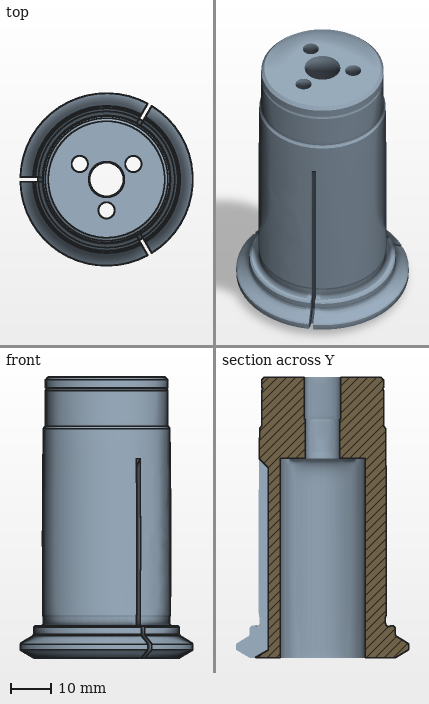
import cadquery as cq
import math

height = 70.0
top_radius = 30.5 / 2
top_chamfer = 0.8

notch_top_z = 67.3
notch_floor_height = 0.2
notch_bottom_z = 66.5
notch_depth = 0.3

shoulder_z = 57.75
body_top_z = 57.1
body_top_radius = 15.75
body_mid_z = 24.5
body_mid_radius = 15.95
body_bottom_z = 10.8
body_bottom_radius = 15.9

neck_radius = 15.75
neck_top_z = 10.2
undercut_radius = 0.8
undercut_center_height = 0.6

collar_radius = 18.1
collar_top_z = 8.05
collar_bottom_z = 5.95
collar_chamfer = 0.4

flange_radius = 21.5
flange_cone_top_radius = 18.35
flange_cone_top_z = 5.5
rim_top_z = 3.5
rim_bottom_z = 2.0
rim_chamfer = 0.3
base_radius = 18.05

slot_top_z = 49.7
bore_diameter = 21.0
bore_depth = slot_top_z
center_hole_diameter = 8.9
center_hole_depth = 10.5
center_throat_diameter = 8.4
bolt_hole_diameter = 4.0
bolt_hole_count = 3
bolt_circle_radius = 7.7
bolt_start_angle = 30.0

slot_count = 3
slot_start_angle = 60.0
slot_width = 1.1
slot_floor_radius = 13.6
slot_floor_arc_radius = 1.0
slot_top_slope = 45.0
slot_foot_radius = 17.15
slot_foot_z = rim_bottom_z
slot_outer_radius = flange_radius + 0.7


def make_sleeve():
    """Revolve the outer profile, drawn as (radius, z), about the Z axis."""
    undercut_center_r = neck_radius + undercut_radius
    undercut_center_z = collar_top_z + undercut_center_height
    undercut_outer_r = undercut_center_r + math.sqrt(undercut_radius**2 - undercut_center_height**2)
    profile = (
        cq.Workplane("XZ")
        .moveTo(0, 0)
        .lineTo(base_radius, 0)
        .lineTo(flange_radius, rim_bottom_z)
        .lineTo(flange_radius, rim_top_z)
        .lineTo(flange_radius - rim_chamfer, rim_top_z + rim_chamfer)
        .lineTo(flange_cone_top_radius, flange_cone_top_z)
        .lineTo(collar_radius, collar_bottom_z)
        .lineTo(collar_radius, collar_top_z - collar_chamfer)
        .lineTo(collar_radius - collar_chamfer, collar_top_z)
        .lineTo(undercut_outer_r, collar_top_z)
        .threePointArc(
            (undercut_center_r, undercut_center_z - undercut_radius),
            (neck_radius, undercut_center_z),
        )
        .lineTo(neck_radius, neck_top_z)
        .lineTo(body_bottom_radius, body_bottom_z)
        .threePointArc((body_mid_radius, body_mid_z), (body_top_radius, body_top_z))
        .lineTo(top_radius, shoulder_z)
        .lineTo(top_radius, notch_bottom_z)
        .lineTo(top_radius - notch_depth, notch_top_z - notch_floor_height)
        .lineTo(top_radius - notch_depth, notch_top_z)
        .lineTo(top_radius, notch_top_z)
        .lineTo(top_radius, height - top_chamfer)
        .lineTo(top_radius - top_chamfer, height)
        .lineTo(0, height)
        .close()
    )
    return profile.revolve(360, (0, 0, 0), (0, 1, 0))


def cylinder(diameter, bottom_z, top_z):
    """Upright cylinder on the Z axis."""
    return cq.Workplane("XY").workplane(offset=bottom_z).circle(diameter / 2).extrude(top_z - bottom_z)


def make_bolt_holes():
    """Bolt holes through the end wall into the main bore."""
    return (
        cq.Workplane("XY")
        .polarArray(bolt_circle_radius, bolt_start_angle, 360, bolt_hole_count)
        .circle(bolt_hole_diameter / 2)
        .extrude(height)
    )


def make_slot_cutter():
    """Slot along +X: its plan shape limited by a side profile with sloping ends."""
    half_width = slot_width / 2
    arc_rise = slot_floor_arc_radius - math.sqrt(slot_floor_arc_radius**2 - half_width**2)
    plan = (
        cq.Workplane("XY")
        .moveTo(slot_outer_radius, -half_width)
        .lineTo(slot_outer_radius, half_width)
        .lineTo(slot_floor_radius + arc_rise, half_width)
        .threePointArc((slot_floor_radius, 0), (slot_floor_radius + arc_rise, -half_width))
        .close()
        .extrude(height)
    )
    top_drop = (body_mid_radius - slot_floor_radius) * math.tan(math.radians(slot_top_slope))
    side = (
        cq.Workplane("XZ")
        .moveTo(slot_floor_radius, slot_foot_z)
        .lineTo(slot_foot_radius, 0)
        .lineTo(slot_outer_radius, 0)
        .lineTo(slot_outer_radius, slot_top_z)
        .lineTo(body_mid_radius, slot_top_z)
        .lineTo(slot_floor_radius, slot_top_z - top_drop)
        .close()
        .extrude(half_width, both=True)
    )
    return plan.intersect(side)


result = make_sleeve()
result = result.cut(cylinder(bore_diameter, 0, bore_depth))
result = result.cut(cylinder(center_throat_diameter, 0, height))
result = result.cut(cylinder(center_hole_diameter, height - center_hole_depth, height))
result = result.cut(make_bolt_holes())

slot_cutter = make_slot_cutter()
for index in range(slot_count):
    angle = slot_start_angle + index * 360 / slot_count
    result = result.cut(slot_cutter.rotate((0, 0, 0), (0, 0, 1), angle))